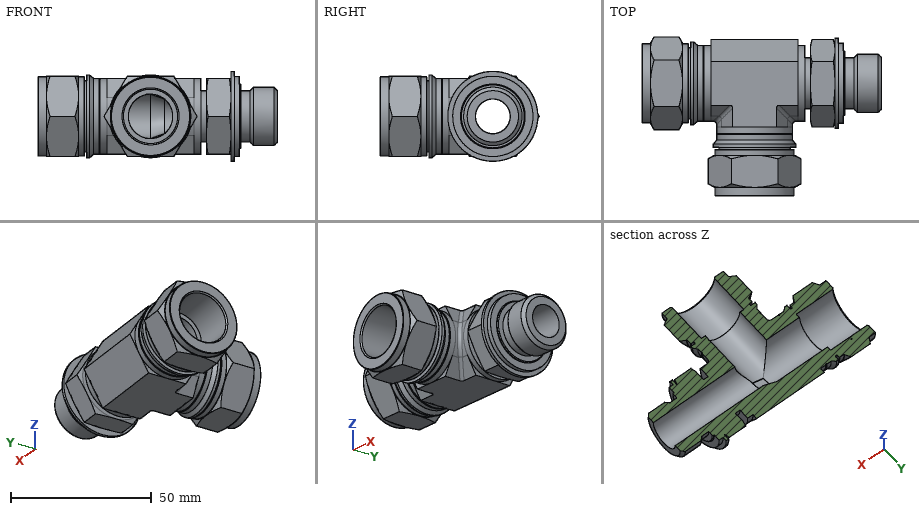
import cadquery as cq
import math


body_diameter = 27.0
body_radius = body_diameter / 2
body_half_length = 15.5
inner_corner_fillet = 1.2

arm_length = 40.0
relief_start = 17.9
relief_end = 18.2
relief_diameter = 26.6
flange_cone_start = 20.2
flange_start = 21.6
flange_end = 22.7
flange_diameter = 29.5
neck_end = 23.4
neck_diameter = 25.4
nut_hex_start = 25.55
nut_hex_end = 37.0
nut_across_flats = 28.6
nut_chamfer_angle = 30
collar_diameter = 28.2
collar_edge = 0.21

socket_diameter = 19.25
socket_depth = 17.0
socket_mouth_chamfer = 0.5

shoulder_end = 17.9
stud_diameter = 18.2
locknut_start = 19.85
locknut_end = 28.5
locknut_chamfer_angle = 15
washer_end = 29.7
washer_diameter = 32.0
seal_end = 31.5
seal_diameter = 28.5
seal_lip_end = 32.2
seal_lip_diameter = 23.0
seal_lip_edge = 0.3
thread_start = 35.3
thread_diameter = 20.8
thread_chamfer = 1.3
stud_end = 85.2 - arm_length

main_bore_diameter = 15.75
stud_bore_diameter = 12.3
bore_taper_length = 4.9


def turned(points):
    """Solid of revolution about X from (distance, radius) points, closed along the axis."""
    below_axis = [(distance, -radius) for distance, radius in points]
    outline = [(points[0][0], 0)] + below_axis + [(points[-1][0], 0)]
    return cq.Workplane("XZ").polyline(outline).close().revolve(360, (0, 0, 0), (1, 0, 0))


def stepped(steps):
    """Outline points of plain cylinders given as (start, end, diameter)."""
    points = []
    for start, end, diameter in steps:
        points += [(start, diameter / 2), (end, diameter / 2)]
    return points


def hex_nut(start, end, across_flats, chamfer_angle):
    """Hexagon along X with corners on +-Y, its corners turned down at both ends."""
    corner_radius = across_flats / 2 / math.cos(math.radians(30))
    flat_radius = across_flats / 2
    chamfer = (corner_radius - flat_radius) * math.tan(math.radians(chamfer_angle))
    prism = (
        cq.Workplane("YZ")
        .workplane(offset=start)
        .polygon(6, 2 * corner_radius)
        .extrude(end - start)
    )
    envelope = turned([
        (start, flat_radius),
        (start + chamfer, corner_radius),
        (end - chamfer, corner_radius),
        (end, flat_radius),
    ])
    return prism.intersect(envelope)


def to_branch(arm):
    """Turn an arm pointing along -X so that it points along -Y."""
    return arm.rotate((0, 0, 0), (0, 0, 1), 90)


def lies_on_inner_corner(edge):
    """True where the run meets the branch: the mitre planes y = -|x|."""
    middle = edge.positionAt(0.5)
    return abs(middle.y + abs(middle.x)) < 0.01 and abs(middle.z) < 0.99 * body_radius


def tee_body():
    """Forged core: hexagonal run and branch whose side corners are rounded to the arm radius."""
    corner = body_radius / math.cos(math.radians(30))
    tangent_y = body_radius * math.cos(math.radians(30))
    tangent_z = body_radius / 2
    run = (
        cq.Workplane("YZ")
        .workplane(offset=-body_half_length)
        .moveTo(corner, 0)
        .lineTo(corner / 2, body_radius)
        .lineTo(-corner / 2, body_radius)
        .lineTo(-tangent_y, tangent_z)
        .threePointArc((-body_radius, 0), (-tangent_y, -tangent_z))
        .lineTo(-corner / 2, -body_radius)
        .lineTo(corner / 2, -body_radius)
        .close()
        .extrude(2 * body_half_length)
    )
    branch = (
        cq.Workplane("XZ")
        .moveTo(tangent_y, tangent_z)
        .lineTo(corner / 2, body_radius)
        .lineTo(-corner / 2, body_radius)
        .lineTo(-tangent_y, tangent_z)
        .threePointArc((-body_radius, 0), (-tangent_y, -tangent_z))
        .lineTo(-corner / 2, -body_radius)
        .lineTo(corner / 2, -body_radius)
        .lineTo(tangent_y, -tangent_z)
        .threePointArc((body_radius, 0), (tangent_y, tangent_z))
        .close()
        .extrude(body_half_length)
    )
    core = run.union(branch)
    return core.edges().filter(lies_on_inner_corner).fillet(inner_corner_fillet)


def compression_arm():
    """Arm along -X: relief groove, flange, neck and hexagonal nut with round collars."""
    points = stepped([
        (body_half_length, relief_start, body_diameter),
        (relief_start, relief_end, relief_diameter),
        (relief_end, flange_cone_start, body_diameter),
        (flange_start, flange_end, flange_diameter),
        (flange_end, neck_end, neck_diameter),
        (neck_end, neck_end + collar_edge, collar_diameter - 2 * collar_edge),
    ])
    points.pop()
    points += stepped([(neck_end + collar_edge, arm_length - collar_edge, collar_diameter)])
    points.append((arm_length, collar_diameter / 2 - collar_edge))
    nut = hex_nut(nut_hex_start, nut_hex_end, nut_across_flats, nut_chamfer_angle)
    return turned(points).union(nut).rotate((0, 0, 0), (0, 0, 1), 180)


def threaded_stud():
    """Stud along +X: shoulder, locknut, washer, sealing ring and plain thread cylinder."""
    points = stepped([
        (body_half_length, shoulder_end, body_diameter),
        (shoulder_end, locknut_end, stud_diameter),
        (locknut_end, washer_end, washer_diameter),
        (washer_end, seal_end, seal_diameter),
        (seal_end, seal_lip_end - seal_lip_edge, seal_lip_diameter),
    ])
    points.append((seal_lip_end, seal_lip_diameter / 2 - seal_lip_edge))
    points += stepped([
        (seal_lip_end, thread_start, stud_diameter),
        (thread_start + thread_chamfer, stud_end - thread_chamfer, thread_diameter),
    ])
    points.append((stud_end, thread_diameter / 2 - thread_chamfer))
    locknut = hex_nut(locknut_start, locknut_end, body_diameter, locknut_chamfer_angle)
    return turned(points).union(locknut)


def arm_bore():
    """Cutter along -X: bore from the origin, tube socket and chamfered mouth."""
    points = stepped([
        (0, arm_length - socket_depth, main_bore_diameter),
        (arm_length - socket_depth, arm_length - socket_mouth_chamfer, socket_diameter),
    ])
    points.append((arm_length, socket_diameter / 2 + socket_mouth_chamfer))
    return turned(points).rotate((0, 0, 0), (0, 0, 1), 180)


def stud_bore():
    """Cutter along +X: taper from the main bore down to the stud bore."""
    return turned([
        (0, main_bore_diameter / 2),
        (bore_taper_length, stud_bore_diameter / 2),
        (stud_end, stud_bore_diameter / 2),
    ])


arm = compression_arm()
bore = arm_bore()

result = tee_body()
for part in (arm, to_branch(arm), threaded_stud()):
    result = result.union(part, clean=False)
for cutter in (bore, to_branch(bore), stud_bore()):
    result = result.cut(cutter, clean=False)